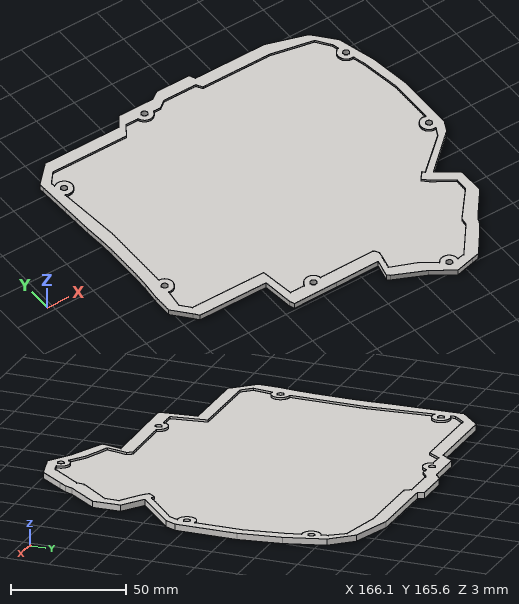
import cadquery as cq

LENGTH_X = 166.13
WIDTH_Y = 165.6
THICKNESS = 3.0
POCKET_DEPTH = 1.0

SCREW_HOLE_DIAMETER = 3.0
SCREW_BOSS_RADIUS = 4.25

SHOULDER_Y = 162.7
LEFT_TOP_Y = 156.9
LEFT_BOTTOM_Y = 41.3

RIM_TOP = 6.4
RIM_BOTTOM = 5.8
RIM_RIGHT = 4.75

OUTER_CORNERS = [
    (0, 147.5),
    (9.4, LEFT_TOP_Y),
    (48.4, LEFT_TOP_Y),
    (52.6, SHOULDER_Y),
    (70.4, SHOULDER_Y),
    (74.5, WIDTH_Y),
    (91.8, WIDTH_Y),
    (93.0, SHOULDER_Y),
    (129.3, SHOULDER_Y),
    (148.8, 156.6),
    (157.9, 146.4),
    (163.2, 127.8),
    (LENGTH_X, 107.7),
    (LENGTH_X, 78.9),
    (163.7, 73.7),
    (144.2, 56.0),
    (154.3, 48.8),
    (154.6, 35.8),
    (143.8, 21.9),
    (142.3, 18.2),
    (139.6, 14.5),
    (131.1, 3.3),
    (127.3, 2.4),
    (118.1, 0),
    (107.4, 7.2),
    (92.2, 14.2),
    (90.8, 15.3),
    (92.8, 24.35),
    (70.4, 24.0),
    (48.1, 23.7),
    (47.1, 26.2),
    (45.4, LEFT_BOTTOM_Y),
    (10.5, LEFT_BOTTOM_Y),
    (8.4, 43.8),
    (1.2, 51.8),
    (1.2, 61.3),
    (2.0, 70.6),
    (2.3, 78.2),
    (2.3, 96.3),
    (2.0, 103.9),
    (1.3, 113.2),
    (1.0, 121.4),
    (0.7, 129.0),
    (0.1, 144.7),
]

POCKET_CORNERS = [
    (4.5, 145.1),
    (9.1, LEFT_TOP_Y - RIM_TOP),
    (48.0, LEFT_TOP_Y - RIM_TOP),
    (51.9, SHOULDER_Y - RIM_TOP),
    (70.2, SHOULDER_Y - RIM_TOP),
    (73.9, WIDTH_Y - RIM_TOP),
    (90.8, WIDTH_Y - RIM_TOP),
    (92.5, SHOULDER_Y - RIM_TOP),
    (128.0, SHOULDER_Y - RIM_TOP),
    (148.7, 152.1),
    (153.6, 145.4),
    (158.3, 127.8),
    (LENGTH_X - RIM_RIGHT, 108.7),
    (LENGTH_X - RIM_RIGHT, 79.0),
    (158.9, 73.6),
    (141.2, 57.9),
    (140.1, 58.9),
    (137.1, 55.4),
    (140.1, 52.5),
    (149.7, 46.1),
    (149.6, 39.5),
    (137.6, 25.1),
    (137.2, 21.4),
    (125.7, 6.6),
    (118.7, 5.2),
    (106.9, 13.6),
    (94.4, 18.7),
    (96.4, 28.3),
    (94.9, 30.8),
    (50.6, 30.3),
    (48.2, LEFT_BOTTOM_Y + RIM_BOTTOM),
    (10.5, LEFT_BOTTOM_Y + RIM_BOTTOM),
    (6.5, 51.6),
    (8.3, 66.7),
    (8.3, 104.5),
]

SCREW_POSITIONS = [
    (7.4, 139.6),
    (62.4, 157.4),
    (155.7, 138.3),
    (160.1, 82.0),
    (8.4, 65.1),
    (62.4, 29.8),
    (117.8, 6.3),
]


def make_plate():
    """Full-thickness slab with the outer outline."""
    return cq.Workplane("XY").polyline(OUTER_CORNERS).close().extrude(THICKNESS)


def make_pocket():
    """Volume sunk into the top face, leaving the rim and the round screw bosses standing."""
    floor = cq.Workplane("XY").workplane(offset=THICKNESS - POCKET_DEPTH)
    recess = floor.polyline(POCKET_CORNERS).close().extrude(POCKET_DEPTH)
    bosses = floor.pushPoints(SCREW_POSITIONS).circle(SCREW_BOSS_RADIUS).extrude(POCKET_DEPTH)
    return recess.cut(bosses)


def make_screw_holes():
    """Through holes at the screw bosses."""
    holes = cq.Workplane("XY").pushPoints(SCREW_POSITIONS)
    return holes.circle(SCREW_HOLE_DIAMETER / 2).extrude(THICKNESS)


result = make_plate().cut(make_pocket()).cut(make_screw_holes())